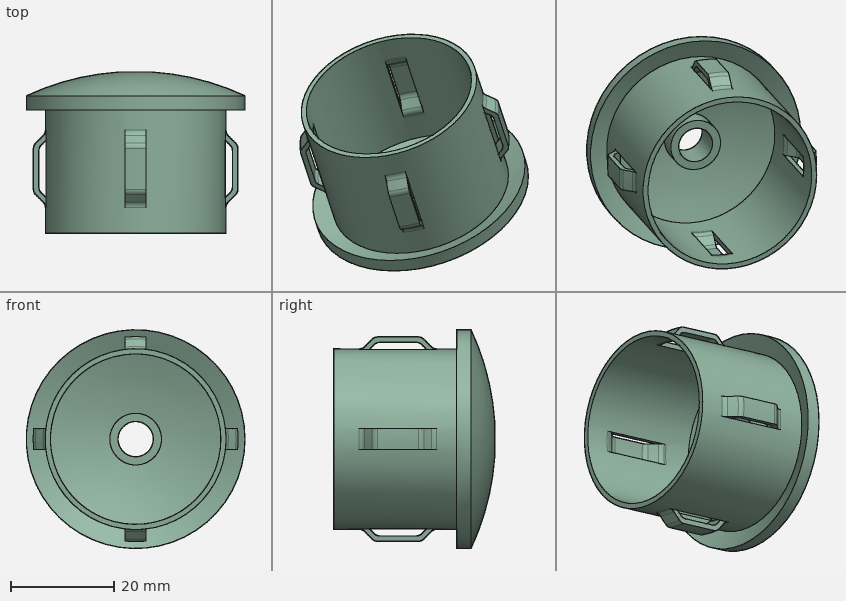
import cadquery as cq
import math


cap_radius = 21.2
cap_rim_bottom = 23.85
cap_rim_height = 2.8
cap_rim_top = cap_rim_bottom + cap_rim_height
dome_radius = 50.0
dome_rise = dome_radius - math.sqrt(dome_radius**2 - cap_radius**2)

hole_radius = 3.4
boss_radius = 5.0
boss_end = cap_rim_bottom

tube_radius = 17.5
tube_wall = 1.0
tube_inner_radius = tube_radius - tube_wall

clip_count = 4
clip_width = 4.05
clip_length = 15.0
clip_middle = 12.45
clip_top_radius = 19.85
bend_angle = math.radians(45)
bend_radius = 1.5


def dome_midpoint(edge_y):
    """Point on a dome halfway out from the axis, for a dome whose edge is at edge_y."""
    x = cap_radius / 2
    drop = dome_radius - math.sqrt(dome_radius**2 - x**2)
    return x, edge_y + dome_rise - drop


def dome_cap():
    """Shell with equal domes above and below, so it has the rim height everywhere along Y."""
    return (
        cq.Workplane("XY")
        .moveTo(0, cap_rim_bottom + dome_rise)
        .lineTo(0, cap_rim_top + dome_rise)
        .threePointArc(dome_midpoint(cap_rim_top), (cap_radius, cap_rim_top))
        .lineTo(cap_radius, cap_rim_bottom)
        .threePointArc(dome_midpoint(cap_rim_bottom), (0, cap_rim_bottom + dome_rise))
        .close()
        .revolve(360, (0, 0), (0, 1))
    )


def cylinder(radius, start, end):
    """Cylinder along Y between two y positions."""
    return cq.Workplane("XZ", origin=(0, start, 0)).circle(radius).extrude(start - end)


def space_below_dome():
    """Everything inside the cap radius that lies under the inner dome."""
    return (
        cq.Workplane("XY")
        .lineTo(cap_radius, 0)
        .lineTo(cap_radius, cap_rim_bottom)
        .threePointArc(dome_midpoint(cap_rim_bottom), (0, cap_rim_bottom + dome_rise))
        .close()
        .revolve(360, (0, 0), (0, 1))
    )


def clip_slab():
    """Block along +X that limits a clip, or its window, to the clip width and length."""
    slab_inner = tube_radius / 2
    middle = ((slab_inner + cap_radius) / 2, clip_middle, 0)
    return cq.Workplane("XY", origin=middle).box(cap_radius - slab_inner, clip_length, clip_width)


def clip():
    """Hat-shaped strip of tube-wall thickness, curved about the Y axis, on the +X side."""
    half_length = clip_length / 2
    strip_end = half_length + tube_wall
    bend_setback = bend_radius * math.tan(bend_angle / 2)
    foot = half_length - bend_setback
    knee = foot - (clip_top_radius - tube_radius) / math.tan(bend_angle)
    inner_shift = tube_wall * math.tan(bend_angle / 2)
    outer = [
        (tube_radius, strip_end),
        (tube_radius, foot),
        (clip_top_radius, knee),
    ]
    inner = [
        (clip_top_radius - tube_wall, knee - inner_shift),
        (tube_inner_radius, foot - inner_shift),
        (tube_inner_radius, strip_end),
    ]
    lower_outside = [(x, -y) for x, y in reversed(outer)]
    lower_inside = [(x, -y) for x, y in reversed(inner)]
    points = outer + lower_outside + lower_inside + inner
    profile = cq.Sketch().polygon(points + points[:1])

    for x, y in (outer[1], outer[2], inner[0], inner[1]):
        for side in (y, -y):
            corner = cq.NearestToPointSelector((x, side, 0))
            profile.reset().vertices(corner).fillet(bend_radius)
    profile.reset()

    ring = (
        cq.Workplane("XY")
        .placeSketch(profile.moved(cq.Location(cq.Vector(0, clip_middle, 0))))
        .revolve(360, (0, 0), (0, 1))
    )
    return ring.intersect(clip_slab())


def body():
    """Cap, tube and drilled boss, before the clips are formed."""
    tube_top = cap_rim_bottom + dome_rise
    tube = cylinder(tube_radius, 0, tube_top).cut(cylinder(tube_inner_radius, 0, tube_top))
    boss = cylinder(boss_radius, boss_end, tube_top)
    below = tube.union(boss).intersect(space_below_dome())
    hole = cylinder(hole_radius, 0, cap_rim_top + dome_rise)
    return dome_cap().union(below).cut(hole)


result = body()
window = clip_slab()
spring_clip = clip()
for index in range(clip_count):
    angle = index * 360 / clip_count
    result = result.cut(window.rotate((0, 0, 0), (0, 1, 0), angle))
    result = result.union(spring_clip.rotate((0, 0, 0), (0, 1, 0), angle))